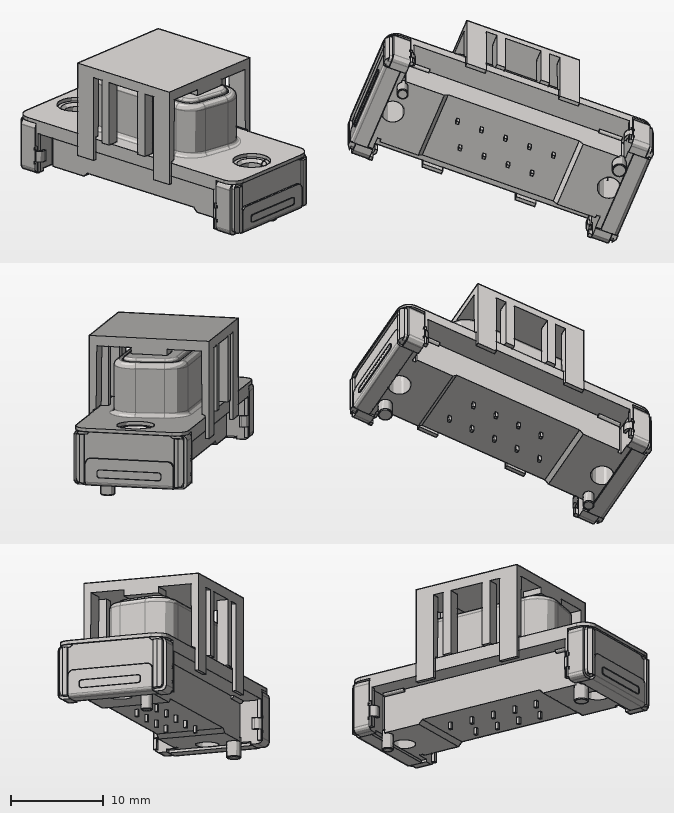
import cadquery as cq
import math


SIDES = (-1, 1)
SELECTION_MARGIN = 0.1

FLANGE_LENGTH = 30.9
FLANGE_WIDTH = 12.5
FLANGE_THICKNESS = 0.4
FLANGE_CORNER_RADIUS = 1.5
SKIRT_HALF_LENGTH = 12.8
SKIRT_BOTTOM = -1.5
SKIRT_LEG_THICKNESS = 0.4

D_HALF_LENGTH = 8.2
D_HALF_WIDTH = 4.0
D_CORNER_RADIUS = 2.45
D_SIDE_ANGLE = math.radians(10)
SHELL_TOP = 5.83
SHELL_TOP_RADIUS = 0.57
SHELL_FOOT_RADIUS = 0.45
OPENING_INSET = 0.85
OPENING_DEPTH = 0.3
PLUG_INSET = 1.0
PLUG_TOP = 6.2
PLUG_EDGE_RADIUS = 0.3

INSULATOR_HALF_LENGTH = 12.46
INSULATOR_WIDTH = 7.7
INSULATOR_BOTTOM = -6.0
NECK_INSET = 0.32
RAISED_BOTTOM = -5.54
RAISED_HALF_LENGTH = 8.03
BEAD_START = 9.8
BEAD_RADIUS = 0.32

CLIP_BOTTOM = -6.3
CLIP_HALF_WIDTH = 6.28
BLOCK_INNER = 12.87
BLOCK_OUTER = 15.17
BLOCK_HALF_WIDTH = 5.95
BLOCK_EDGE_RADIUS = 0.5
LOBE_INNER = 12.64
LOBE_TOP = -3.0
LOBE_HALF_WIDTH = 6.265
SIDE_PLATE_OUTER = 14.82
SIDE_PLATE_EDGE_RADIUS = 0.6
CLIP_FOLD_HALF_WIDTH = 4.88
POST_OUTER = 15.5
POST_INNER_HALF_WIDTH = 5.0
POST_FLAT_HALF_WIDTH = 5.47
POST_TOP = -0.7
PANEL_OUTER = 15.2
PANEL_SHOULDER_HALF_WIDTH = 4.75
PANEL_TOP_HALF_WIDTH = 4.4

TAB_OUTER = 15.45
TAB_HALF_WIDTH = 4.86
TAB_TOP = -3.28
TAB_CORNER_RADIUS = 0.6
TAB_BEND_RADIUS = 0.38
TAB_FOLD_INNER = 13.48
RIB_OUTER = 15.56
RIB_LENGTH = 7.1
RIB_HEIGHT = 0.87
RIB_CENTER_Z = -4.93
RIB_CORNER_RADIUS = 0.3

HOOK_START = 12.77
HOOK_INNER = 12.12
HOOK_FACE = CLIP_HALF_WIDTH
HOOK_THICKNESS = 0.3
HOOK_LEG = 0.25
HOOK_TOP = -3.57
HOOK_BOTTOM = -4.81
RELIEF_DEPTH = 0.13
RELIEF_HEIGHT = 0.25
RELIEF_OFFSET = 0.18

SCREW_X = 12.5
FLANGE_HOLE_DIAMETER = 4.05
COUNTERSINK_DIAMETER = 3.2
SCREW_HOLE_DIAMETER = 2.5

LEFT_PEG_X = -12.5
RIGHT_PEG_X = 12.55
PEG_Y = 3.1
LEFT_PEG_DIAMETER = 1.55
RIGHT_PEG_DIAMETER = 1.2
PEG_BOTTOM = -7.75
PEG_CHAMFER = 0.1

PIN_COUNT = 9
PIN_PITCH = 1.385
PIN_ROW_Y = 1.42
PIN_SIZE = 0.32
PIN_BOTTOM = -6.3

CAP_LENGTH = 13.05
CAP_WIDTH = 13.3
CAP_TOP = 8.35
CAP_ROOF_UNDERSIDE = 7.24
OUTER_LEG_INNER_X = 4.25
OUTER_LEG_BOTTOM = -2.35
OUTER_LEG_INNER_Y = 5.8
LEG_TAPERED_Y = 5.88
LEG_HOOK_TOP = 0.3
LEG_HOOK_Y = 6.2
LEG_HOOK_BOTTOM = 0.18
INNER_LEG_MIN_X = 2.03
INNER_LEG_MAX_X = 3.05
INNER_LEG_THICKNESS = 1.26
PAD_HALF_WIDTH = 2.0
PAD_BOTTOM = 6.57


def block(x0, x1, y0, y1, z0, z1):
    """Box between two opposite corners, given in any order."""
    return (cq.Workplane("XY")
            .box(abs(x1 - x0), abs(y1 - y0), abs(z1 - z0))
            .translate(((x0 + x1) / 2, (y0 + y1) / 2, (z0 + z1) / 2)))


def d_prism(inset, bottom, top):
    """Prism with the D outline offset inward by inset."""
    radius = D_CORNER_RADIUS - inset
    half_width = D_HALF_WIDTH - inset
    slope = math.tan(D_SIDE_ANGLE)
    center_x = D_HALF_LENGTH - D_CORNER_RADIUS
    center_y = D_HALF_WIDTH - D_CORNER_RADIUS
    tangent_x = center_x + radius * math.cos(D_SIDE_ANGLE)
    tangent_y = center_y - radius * math.sin(D_SIDE_ANGLE)
    wide_x = tangent_x + (half_width - tangent_y) * slope
    narrow_x = tangent_x - (half_width + tangent_y) * slope
    corners = [(-narrow_x, -half_width), (narrow_x, -half_width),
               (wide_x, half_width), (-wide_x, half_width)]
    return (cq.Workplane("XY", origin=(0, 0, bottom))
            .polyline(corners).close().extrude(top - bottom)
            .edges("|Z").fillet(radius))


def make_flange():
    plate = block(-FLANGE_LENGTH / 2, FLANGE_LENGTH / 2, -FLANGE_WIDTH / 2, FLANGE_WIDTH / 2,
                  -FLANGE_THICKNESS, 0).edges("|Z").fillet(FLANGE_CORNER_RADIUS)
    skirt = block(-SKIRT_HALF_LENGTH, SKIRT_HALF_LENGTH, -FLANGE_WIDTH / 2, FLANGE_WIDTH / 2,
                  SKIRT_BOTTOM, 0)
    return plate.union(skirt)


def add_shell(body):
    shell = d_prism(0, SKIRT_BOTTOM, SHELL_TOP).faces(">Z").edges().fillet(SHELL_TOP_RADIUS)
    body = body.union(shell)
    reach_x = D_HALF_LENGTH + SELECTION_MARGIN
    reach_y = D_HALF_WIDTH + SELECTION_MARGIN
    foot_box = cq.selectors.BoxSelector((-reach_x, -reach_y, -SELECTION_MARGIN),
                                        (reach_x, reach_y, SELECTION_MARGIN))
    body = body.edges(foot_box).fillet(SHELL_FOOT_RADIUS)
    opening = d_prism(OPENING_INSET, SHELL_TOP - OPENING_DEPTH, SHELL_TOP)
    plug = d_prism(PLUG_INSET, 0, PLUG_TOP).faces(">Z").edges().fillet(PLUG_EDGE_RADIUS)
    return body.cut(opening).union(plug)


def make_insulator():
    raised_flat = RAISED_HALF_LENGTH - (RAISED_BOTTOM - INSULATOR_BOTTOM)
    outline = [(-INSULATOR_HALF_LENGTH, SKIRT_BOTTOM), (-INSULATOR_HALF_LENGTH, INSULATOR_BOTTOM),
               (-RAISED_HALF_LENGTH, INSULATOR_BOTTOM), (-raised_flat, RAISED_BOTTOM),
               (raised_flat, RAISED_BOTTOM), (RAISED_HALF_LENGTH, INSULATOR_BOTTOM),
               (INSULATOR_HALF_LENGTH, INSULATOR_BOTTOM), (INSULATOR_HALF_LENGTH, SKIRT_BOTTOM)]
    insulator = (cq.Workplane("XZ").polyline(outline).close()
                 .extrude(INSULATOR_WIDTH / 2, both=True))
    for x_side in SIDES:
        for y_side in SIDES:
            insulator = insulator.union(make_bead(x_side, y_side))
    return insulator


def make_bead(x_side, y_side):
    """Convex quarter-round in the corner of the skirt underside and the insulator side."""
    wall = y_side * INSULATOR_WIDTH / 2
    start = min(x_side * BEAD_START, x_side * INSULATOR_HALF_LENGTH)
    bar = (cq.Workplane("YZ", origin=(start, wall, SKIRT_BOTTOM))
           .circle(BEAD_RADIUS).extrude(INSULATOR_HALF_LENGTH - BEAD_START))
    corner = block(x_side * BEAD_START, x_side * INSULATOR_HALF_LENGTH,
                   wall, wall + y_side * BEAD_RADIUS, SKIRT_BOTTOM - BEAD_RADIUS, SKIRT_BOTTOM)
    return bar.intersect(corner)


def make_hook():
    """Crimp hook of the +X, -Y corner: a quarter bend and a short leg."""
    outer_radius = HOOK_START - HOOK_INNER
    inner_radius = outer_radius - HOOK_THICKNESS
    bend_y = outer_radius - HOOK_FACE
    diagonal = math.sqrt(0.5)
    return (cq.Workplane("XY", origin=(0, 0, HOOK_BOTTOM))
            .moveTo(HOOK_START, -HOOK_FACE)
            .threePointArc((HOOK_START - outer_radius * diagonal, bend_y - outer_radius * diagonal),
                           (HOOK_INNER, bend_y))
            .lineTo(HOOK_INNER, bend_y + HOOK_LEG)
            .lineTo(HOOK_INNER + HOOK_THICKNESS, bend_y + HOOK_LEG)
            .lineTo(HOOK_INNER + HOOK_THICKNESS, bend_y)
            .threePointArc((HOOK_START - inner_radius * diagonal, bend_y - inner_radius * diagonal),
                           (HOOK_START, HOOK_THICKNESS - HOOK_FACE))
            .close().extrude(HOOK_TOP - HOOK_BOTTOM))


def make_side_plates():
    """Side plates of the +X clip, folded in above and below."""
    plates = block(BLOCK_INNER, SIDE_PLATE_OUTER, -CLIP_HALF_WIDTH, CLIP_HALF_WIDTH,
                   CLIP_BOTTOM, -FLANGE_THICKNESS).edges("|X").fillet(SIDE_PLATE_EDGE_RADIUS)
    plates = plates.cut(block(BLOCK_INNER, SIDE_PLATE_OUTER, -CLIP_FOLD_HALF_WIDTH,
                              CLIP_FOLD_HALF_WIDTH, CLIP_BOTTOM, INSULATOR_BOTTOM))
    for relief_z in (HOOK_TOP + RELIEF_OFFSET, HOOK_BOTTOM - RELIEF_OFFSET):
        for y_side in SIDES:
            plates = plates.cut(block(BLOCK_INNER, BLOCK_INNER + RELIEF_DEPTH,
                                      y_side * BLOCK_HALF_WIDTH, y_side * CLIP_HALF_WIDTH,
                                      relief_z - RELIEF_HEIGHT / 2, relief_z + RELIEF_HEIGHT / 2))
    return plates


def make_corner_posts():
    """Beveled vertical posts on both outer corners of the +X end."""
    outline = [(BLOCK_OUTER, -BLOCK_HALF_WIDTH), (POST_OUTER, -POST_FLAT_HALF_WIDTH),
               (POST_OUTER, -POST_INNER_HALF_WIDTH), (BLOCK_OUTER, -POST_INNER_HALF_WIDTH)]
    post = (cq.Workplane("XY", origin=(0, 0, INSULATOR_BOTTOM))
            .polyline(outline).close().extrude(POST_TOP - INSULATOR_BOTTOM))
    return post.union(post.mirror("XZ"))


def make_end_panel():
    """Outer panel of the +X clip with its raised tab, bottom fold and rib."""
    right_edge = [(POST_INNER_HALF_WIDTH, INSULATOR_BOTTOM), (POST_INNER_HALF_WIDTH, POST_TOP),
                  (PANEL_SHOULDER_HALF_WIDTH, POST_TOP), (PANEL_TOP_HALF_WIDTH, -FLANGE_THICKNESS)]
    left_edge = [(-y, z) for y, z in reversed(right_edge)]
    panel = (cq.Workplane("YZ", origin=(BLOCK_OUTER, 0, 0))
             .polyline(right_edge + left_edge).close().extrude(PANEL_OUTER - BLOCK_OUTER))
    tab = block(BLOCK_OUTER, TAB_OUTER, -TAB_HALF_WIDTH, TAB_HALF_WIDTH, INSULATOR_BOTTOM, TAB_TOP)
    tab = tab.faces(">Z").edges("|X").fillet(TAB_CORNER_RADIUS)
    fold = block(TAB_FOLD_INNER, TAB_OUTER, -TAB_HALF_WIDTH, TAB_HALF_WIDTH,
                 CLIP_BOTTOM, INSULATOR_BOTTOM)
    tab = tab.union(fold).edges(">X and <Z").fillet(TAB_BEND_RADIUS)
    rib = block(BLOCK_OUTER, RIB_OUTER, -RIB_LENGTH / 2, RIB_LENGTH / 2,
                RIB_CENTER_Z - RIB_HEIGHT / 2, RIB_CENTER_Z + RIB_HEIGHT / 2)
    rib = rib.edges("|X").fillet(RIB_CORNER_RADIUS)
    return panel.union(tab).union(rib)


def make_screw_hole():
    """Stepped, countersunk hole at the +X end, stopping above the clip fold."""
    seat = -FLANGE_THICKNESS
    drop = (COUNTERSINK_DIAMETER - SCREW_HOLE_DIAMETER) / 2
    profile = [(0, 0), (FLANGE_HOLE_DIAMETER / 2, 0), (FLANGE_HOLE_DIAMETER / 2, seat),
               (COUNTERSINK_DIAMETER / 2, seat), (SCREW_HOLE_DIAMETER / 2, seat - drop),
               (SCREW_HOLE_DIAMETER / 2, INSULATOR_BOTTOM), (0, INSULATOR_BOTTOM)]
    return (cq.Workplane("XZ").polyline(profile).close()
            .revolve(360, (0, 0, 0), (0, 1, 0)).translate((SCREW_X, 0, 0)))


def make_end():
    """Complete +X end: insulator block, skirt legs, lobes, hooks and clip."""
    core = block(BLOCK_INNER, BLOCK_OUTER, -BLOCK_HALF_WIDTH, BLOCK_HALF_WIDTH,
                 INSULATOR_BOTTOM, -FLANGE_THICKNESS).edges("|X").fillet(BLOCK_EDGE_RADIUS)
    neck_half_width = INSULATOR_WIDTH / 2 - NECK_INSET
    neck = block(INSULATOR_HALF_LENGTH, BLOCK_INNER, -neck_half_width, neck_half_width,
                 INSULATOR_BOTTOM, SKIRT_BOTTOM)
    end = core.union(neck)
    hook = make_hook()
    for y_side in SIDES:
        leg_inner = y_side * (FLANGE_WIDTH / 2 - SKIRT_LEG_THICKNESS)
        skirt_leg = block(INSULATOR_HALF_LENGTH, SKIRT_HALF_LENGTH, leg_inner, y_side * FLANGE_WIDTH / 2,
                          INSULATOR_BOTTOM, SKIRT_BOTTOM)
        lobe = block(LOBE_INNER, BLOCK_INNER, leg_inner, y_side * LOBE_HALF_WIDTH,
                     INSULATOR_BOTTOM, LOBE_TOP)
        hook_window = block(INSULATOR_HALF_LENGTH, HOOK_START, leg_inner, y_side * LOBE_HALF_WIDTH,
                            HOOK_BOTTOM, HOOK_TOP)
        end = end.union(skirt_leg).union(lobe).cut(hook_window)
    end = end.union(hook).union(hook.mirror("XZ"))
    return end.union(make_side_plates()).union(make_corner_posts()).union(make_end_panel())


def make_pegs():
    pegs = cq.Workplane("XY")
    for peg_x, diameter in ((LEFT_PEG_X, LEFT_PEG_DIAMETER), (RIGHT_PEG_X, RIGHT_PEG_DIAMETER)):
        peg = (cq.Workplane("XY", origin=(peg_x, PEG_Y, PEG_BOTTOM))
               .circle(diameter / 2).extrude(RAISED_BOTTOM - PEG_BOTTOM)
               .faces("<Z").chamfer(PEG_CHAMFER))
        pegs = pegs.add(peg)
    return pegs.combine()


def make_pins():
    """Pins alternating between the rows, with the outermost pins at +Y."""
    pins = cq.Workplane("XY")
    half = PIN_SIZE / 2
    for index in range(PIN_COUNT):
        x = (index - (PIN_COUNT - 1) / 2) * PIN_PITCH
        y = PIN_ROW_Y if index % 2 == 0 else -PIN_ROW_Y
        pins = pins.add(block(x - half, x + half, y - half, y + half, PIN_BOTTOM, SKIRT_BOTTOM))
    return pins.combine()


def make_cap():
    half_length = CAP_LENGTH / 2
    half_width = CAP_WIDTH / 2
    leg_outline = [(half_width, CAP_TOP), (half_width, OUTER_LEG_BOTTOM),
                   (FLANGE_WIDTH / 2, OUTER_LEG_BOTTOM), (FLANGE_WIDTH / 2, 0),
                   (LEG_HOOK_Y, LEG_HOOK_BOTTOM), (LEG_TAPERED_Y, LEG_HOOK_TOP),
                   (OUTER_LEG_INNER_Y, CAP_ROOF_UNDERSIDE), (OUTER_LEG_INNER_Y, CAP_TOP)]
    outer_leg = (cq.Workplane("YZ", origin=(OUTER_LEG_INNER_X, 0, 0))
                 .polyline(leg_outline).close().extrude(half_length - OUTER_LEG_INNER_X))
    inner_leg = block(INNER_LEG_MIN_X, INNER_LEG_MAX_X, half_width - INNER_LEG_THICKNESS, half_width,
                      0, CAP_TOP)
    legs = outer_leg.union(inner_leg)
    legs = legs.union(legs.mirror("XZ"))
    pad = block(OUTER_LEG_INNER_X, half_length, -PAD_HALF_WIDTH, PAD_HALF_WIDTH, PAD_BOTTOM, CAP_TOP)
    right_half = legs.union(pad)
    roof = block(-half_length, half_length, -half_width, half_width, CAP_ROOF_UNDERSIDE, CAP_TOP)
    return roof.union(right_half).union(right_half.mirror("YZ"))


end = make_end()
screw_hole = make_screw_hole()

body = add_shell(make_flange())
body = body.union(make_insulator()).union(end).union(end.mirror("YZ"))
body = body.cut(screw_hole).cut(screw_hole.mirror("YZ"))
body = body.union(make_pegs()).union(make_pins()).union(make_cap())

result = body